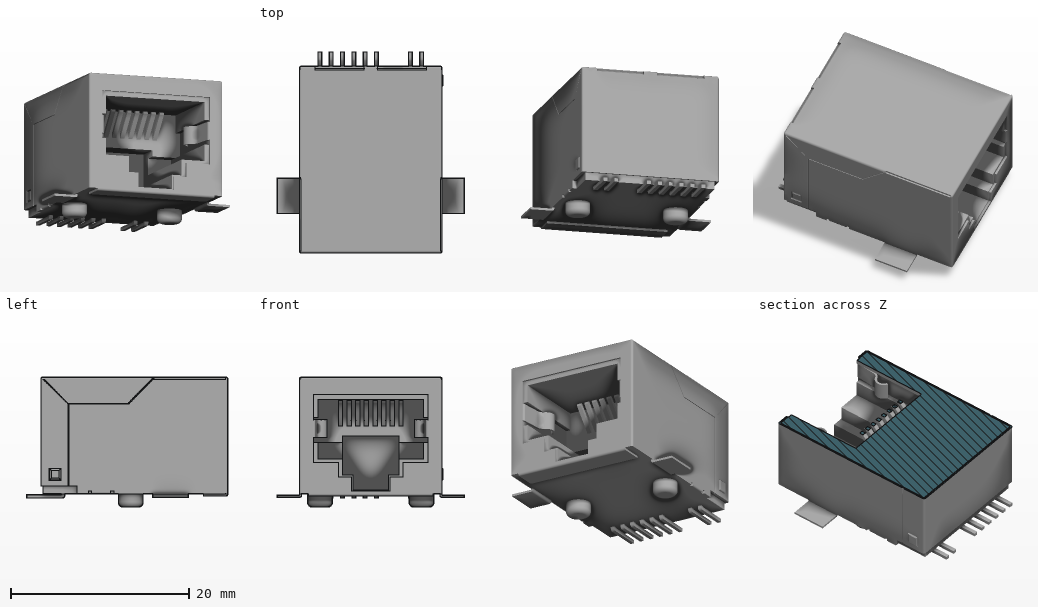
import cadquery as cq
import math


WIDTH = 16.0
LENGTH = 21.0
TOP_Z = 13.5
BOTTOM_Z = 0.375
SHEET = 0.25
BEND_RADIUS = 0.249
HALF_WIDTH = WIDTH / 2
CORE_HALF_WIDTH = HALF_WIDTH - SHEET
CORE_TOP_Z = TOP_Z - SHEET
CORE_REAR_Y = LENGTH - SHEET

SHIELD_OPENING_TOP_Z = 11.55
SHIELD_OPENING_STEPS = [(6.45, 3.9), (3.63, 2.25), (2.15, 0.69)]
CAVITY_TOP_Z = 11.0
CAVITY_STEPS = [(5.9, 4.28), (3.16, 2.48), (2.0, 0.84)]

CONTACT_WALL_Y = 9.5
SIDE_FLOOR_BACK_Y = 11.0
LATCH_BACK_Y = 12.5
LATCH_TOP_Z = 6.86

SLOT_BOTTOM_Z = 6.16
SLOT_TOP_Z = 8.97
SLOT_HALF_WIDTH = SHIELD_OPENING_STEPS[0][0]
FINGER_BOTTOM_Z = 6.7
FINGER_TOP_Z = 8.73
FINGER_ARM_END_X = 5.98
FINGER_ARM_END_Y = 2.53
FINGER_INNER_RADIUS = 0.75
FINGER_OUTER_RADIUS = FINGER_INNER_RADIUS + SHEET
FINGER_BEND_ANGLE = math.radians(68)

CONTACT_COUNT = 8
CONTACT_PITCH = 0.97
CONTACT_WIDTH = 0.5
CONTACT_THICKNESS = 0.4
CONTACT_TOP_Z = 10.84
CONTACT_TIP_Y = 7.19
CONTACT_SLOPE = 48.0
CONTACT_LENGTH = 4.1

PIN_PITCH = 1.27
PIN_STEPS = [-4.5, -3.5, -2.5, -1.5, -0.5, 0.5, 3.5, 4.5]
PIN_WIDTH = 0.45
PIN_THICKNESS = 0.4
PIN_BEND_RADIUS = 0.36
PIN_BOTTOM_Z = -0.1
PIN_INNER_Y = 18.28
PIN_TIP_Y = 22.58

PEG_DIAMETER = 2.8
PEG_X = 5.7
PEG_Y = 10.9
PEG_BOTTOM_Z = -1.1
PEG_FILLET = 0.55

TAB_TIP_X = 10.5
TAB_Y = 6.43
TAB_WIDTH = 4.0
FLAP_HALF_WIDTH = 7.0
FLAP_LENGTH = 2.75

REBATE_LENGTH = 8.3
REBATE_WIDTH = 0.16
SEAM = 0.15
SEAM_DEPTH = 0.1
SEAM_LEVEL_GAP = 0.08
SEAM_DROP = 3.05
SEAM_FRONT_Y = 11.3
SEAM_REAR_Y = 17.88
REAR_SKIRT_Z = 1.25
REAR_SKIRT_Y = 16.95
REAR_SKIRT_INSET = 0.25
HEM_FRONT_Y = 12.8
HEM_REAR_Y = 15.65
HEM_RADIUS = 0.18
RELIEF_WIDTH = 0.35
RELIEF_HEIGHT = 0.32

BEND_SLOT_X = 3.5
BEND_SLOT_WIDTH = 5.5
BEND_SLOT_DEPTH = 0.42

WINDOW_Y = 19.38
WINDOW_Z = 2.58
WINDOW_SIZE = 1.35
BUMP_SIZE = 1.25
LEFT_BUMP_HEIGHT = SHEET
LEFT_BUMP_CHAMFER = 0.19
RIGHT_BUMP_HEIGHT = SHEET + 0.13
RIGHT_BUMP_CHAMFER = 0.08


def block(x0, x1, y0, y1, z0, z1):
    """Box between two opposite corners."""
    return cq.Workplane("XY").box(x1 - x0, y1 - y0, z1 - z0, centered=False).translate((x0, y0, z0))


def stepped_opening(top_z, steps, y0, y1):
    """Plug opening whose width shrinks in steps toward the bottom."""
    opening = None
    for half_width, bottom_z in steps:
        step = block(-half_width, half_width, y0, y1, bottom_z, top_z)
        opening = step if opening is None else opening.union(step)
    return opening


def both_sides(body):
    """The body together with its mirror image across the plane X = 0."""
    return body.union(body.mirror("YZ"))


def shield_shell():
    outer = block(-HALF_WIDTH, HALF_WIDTH, 0, LENGTH, BOTTOM_Z, TOP_Z)
    outer = outer.edges("|Z or >Z").fillet(BEND_RADIUS)
    inside = block(-CORE_HALF_WIDTH, CORE_HALF_WIDTH, SHEET, CORE_REAR_Y, BOTTOM_Z, CORE_TOP_Z)
    return outer.cut(inside)


def front_flap():
    """Strip that bends from the front face under the housing."""
    flap = block(-FLAP_HALF_WIDTH, FLAP_HALF_WIDTH, 0, FLAP_LENGTH, BOTTOM_Z - SHEET, BOTTOM_Z)
    return flap.edges("|X and <Y and <Z").fillet(BEND_RADIUS)


def solder_tab():
    y0 = TAB_Y - TAB_WIDTH / 2
    y1 = TAB_Y + TAB_WIDTH / 2
    foot = block(-TAB_TIP_X, -CORE_HALF_WIDTH, y0, y1, 0, SHEET)
    leg = block(-HALF_WIDTH, -CORE_HALF_WIDTH, y0, y1, 0, BOTTOM_Z)
    return foot.union(leg).edges("|Y and >X and <Z").fillet(BEND_RADIUS)


def spring_finger():
    """Bent strip that runs back from the opening edge and bulges into the cavity."""
    sine = math.sin(FINGER_BEND_ANGLE)
    cosine = math.cos(FINGER_BEND_ANGLE)
    half_sine = math.sin(FINGER_BEND_ANGLE / 2)
    half_cosine = math.cos(FINGER_BEND_ANGLE / 2)
    first_x = FINGER_INNER_RADIUS - FINGER_ARM_END_X
    first_y = FINGER_ARM_END_Y
    center_gap = FINGER_INNER_RADIUS + FINGER_OUTER_RADIUS
    second_x = first_x - center_gap * cosine
    second_y = first_y + center_gap * sine

    def on_first(radius, c, s):
        return (first_x - radius * c, first_y + radius * s)

    def on_second(radius, c, s):
        return (second_x + radius * c, second_y + radius * s)

    root_x = -SLOT_HALF_WIDTH
    root_bend = SHEET * math.sqrt(0.5)
    inner = FINGER_INNER_RADIUS
    outer = FINGER_OUTER_RADIUS
    profile = (
        cq.Workplane("XY")
        .moveTo(root_x, 0)
        .threePointArc((root_x + root_bend, SHEET - root_bend), (root_x + SHEET, SHEET))
        .lineTo(-FINGER_ARM_END_X, FINGER_ARM_END_Y)
        .threePointArc(on_first(inner, half_cosine, half_sine), on_first(inner, cosine, sine))
        .threePointArc(on_second(outer, 1, 0), on_second(outer, cosine, sine))
        .lineTo(*on_second(inner, cosine, sine))
        .threePointArc(on_second(inner, 1, 0), on_second(inner, cosine, -sine))
        .threePointArc(on_first(outer, half_cosine, half_sine), on_first(outer, 1, 0))
        .lineTo(root_x, SHEET)
        .close()
    )
    return profile.extrude(FINGER_TOP_Z - FINGER_BOTTOM_Z).translate((0, 0, FINGER_BOTTOM_Z))


def side_groove(points):
    """Groove in the outer face of the -X side sheet along a (y, z) outline."""
    return cq.Workplane("YZ").polyline(points).close().extrude(SEAM_DEPTH).translate((-HALF_WIDTH, 0, 0))


def side_seams():
    """Seam lines between the front side panel, the top flap and the rear flap."""
    level_z = TOP_Z - SEAM_DROP
    front_slant = side_groove([
        (REBATE_LENGTH, TOP_Z), (SEAM_FRONT_Y, level_z),
        (SEAM_FRONT_Y - SEAM, level_z), (REBATE_LENGTH - SEAM, TOP_Z),
    ])
    rear_slant = side_groove([
        (CORE_REAR_Y, CORE_TOP_Z), (SEAM_REAR_Y, level_z),
        (CORE_REAR_Y - SEAM, CORE_TOP_Z),
    ])
    level = side_groove([
        (SEAM_FRONT_Y - SEAM, level_z), (SEAM_REAR_Y, level_z),
        (SEAM_REAR_Y, level_z + SEAM_LEVEL_GAP), (SEAM_FRONT_Y - SEAM, level_z + SEAM_LEVEL_GAP),
    ])
    upright = side_groove([
        (SEAM_REAR_Y - SEAM / 2, REAR_SKIRT_Z), (SEAM_REAR_Y + SEAM / 2, REAR_SKIRT_Z),
        (SEAM_REAR_Y + SEAM / 2, level_z), (SEAM_REAR_Y - SEAM / 2, level_z),
    ])
    return front_slant.union(rear_slant).union(level).union(upright)


def top_rebate():
    """Step along the front stretch of the top edge, where the top sheet stops short of the side."""
    return block(-HALF_WIDTH, REBATE_WIDTH - HALF_WIDTH, SHEET, REBATE_LENGTH, CORE_TOP_Z, TOP_Z)


def hem_cuts():
    """Two relief notches at the bottom of the side, and the rounded edge between them."""
    x0 = -HALF_WIDTH
    x1 = -CORE_HALF_WIDTH
    relief_top = BOTTOM_Z + RELIEF_HEIGHT
    front = block(x0, x1, HEM_FRONT_Y, HEM_FRONT_Y + RELIEF_WIDTH, BOTTOM_Z, relief_top)
    rear = block(x0, x1, HEM_REAR_Y - RELIEF_WIDTH, HEM_REAR_Y, BOTTOM_Z, relief_top)
    corner = block(x0, x0 + HEM_RADIUS, HEM_FRONT_Y, HEM_REAR_Y, BOTTOM_Z, BOTTOM_Z + HEM_RADIUS)
    round_edge = (
        cq.Workplane("XZ")
        .center(x0 + HEM_RADIUS, BOTTOM_Z + HEM_RADIUS)
        .circle(HEM_RADIUS)
        .extrude(HEM_FRONT_Y - HEM_REAR_Y)
        .translate((0, HEM_FRONT_Y, 0))
    )
    return front.union(rear).union(corner.cut(round_edge))


def latch_window():
    half = WINDOW_SIZE / 2
    return block(
        -HALF_WIDTH, -CORE_HALF_WIDTH,
        WINDOW_Y - half, WINDOW_Y + half,
        WINDOW_Z - half, WINDOW_Z + half,
    )


def bend_slots():
    """Two slots in the bend between the top and the rear of the shield."""
    half = BEND_SLOT_WIDTH / 2
    slot = block(
        -BEND_SLOT_X - half, -BEND_SLOT_X + half,
        LENGTH - BEND_SLOT_DEPTH, LENGTH,
        TOP_Z - BEND_SLOT_DEPTH, TOP_Z,
    )
    core = block(-HALF_WIDTH, HALF_WIDTH, 0, CORE_REAR_Y, 0, CORE_TOP_Z)
    return both_sides(slot.cut(core))


def make_shield():
    rear_skirt = block(-HALF_WIDTH, HALF_WIDTH, REAR_SKIRT_Y, LENGTH, BOTTOM_Z, REAR_SKIRT_Z)
    side_cuts = side_seams().union(top_rebate()).union(hem_cuts()).union(latch_window())
    shield = shield_shell().union(front_flap())
    shield = shield.cut(stepped_opening(SHIELD_OPENING_TOP_Z, SHIELD_OPENING_STEPS, 0, SHEET))
    shield = shield.cut(rear_skirt).cut(bend_slots())
    shield = shield.cut(side_cuts).cut(side_cuts.mirror("YZ"))
    return shield.union(both_sides(solder_tab())).union(both_sides(spring_finger()))


def rear_skirt_step():
    """Step in the -X side of the housing below the raised rear edge of the shield."""
    return block(
        -CORE_HALF_WIDTH, REAR_SKIRT_INSET - CORE_HALF_WIDTH,
        REAR_SKIRT_Y, CORE_REAR_Y,
        BOTTOM_Z, REAR_SKIRT_Z,
    )


def plug_cavity():
    cavity = stepped_opening(CAVITY_TOP_Z, CAVITY_STEPS, SHEET, CONTACT_WALL_Y)
    slot = block(-SLOT_HALF_WIDTH, SLOT_HALF_WIDTH, SHEET, CONTACT_WALL_Y, SLOT_BOTTOM_Z, SLOT_TOP_Z)
    side_half_width, side_floor_z = CAVITY_STEPS[0]
    side_recess = block(
        -side_half_width, side_half_width, SHEET, SIDE_FLOOR_BACK_Y, side_floor_z, SLOT_BOTTOM_Z
    )
    latch_recess = stepped_opening(LATCH_TOP_Z, CAVITY_STEPS[1:], SHEET, LATCH_BACK_Y)
    return cavity.union(slot).union(side_recess).union(latch_recess)


def contact(x):
    """Round-tipped spring contact that slopes down into the contact wall."""
    radius = CONTACT_THICKNESS / 2
    return (
        cq.Workplane("YZ")
        .moveTo(0, radius)
        .lineTo(CONTACT_LENGTH, radius)
        .lineTo(CONTACT_LENGTH, -radius)
        .lineTo(0, -radius)
        .threePointArc((-radius, 0), (0, radius))
        .close()
        .extrude(CONTACT_WIDTH / 2, both=True)
        .rotate((0, 0, 0), (1, 0, 0), -CONTACT_SLOPE)
        .translate((x, CONTACT_TIP_Y + radius, CONTACT_TOP_Z - radius))
    )


def solder_pin(x):
    """L-shaped pin that leaves the underside and runs out to the rear."""
    x0 = x - PIN_WIDTH / 2
    x1 = x + PIN_WIDTH / 2
    foot = block(x0, x1, PIN_INNER_Y, PIN_TIP_Y, PIN_BOTTOM_Z, PIN_BOTTOM_Z + PIN_THICKNESS)
    leg = block(x0, x1, PIN_INNER_Y, PIN_INNER_Y + PIN_THICKNESS, PIN_BOTTOM_Z, BOTTOM_Z)
    return foot.union(leg).edges("|X and <Y and <Z").fillet(PIN_BEND_RADIUS)


def peg(x):
    return (
        cq.Workplane("XY", origin=(x, PEG_Y, PEG_BOTTOM_Z))
        .circle(PEG_DIAMETER / 2)
        .extrude(BOTTOM_Z - PEG_BOTTOM_Z)
        .faces("<Z")
        .edges()
        .fillet(PEG_FILLET)
    )


def latch_bump(height, chamfer):
    """Square bump on the +X side of the housing."""
    half = BUMP_SIZE / 2
    bump = block(
        CORE_HALF_WIDTH, CORE_HALF_WIDTH + height,
        WINDOW_Y - half, WINDOW_Y + half,
        WINDOW_Z - half, WINDOW_Z + half,
    )
    return bump.faces(">X").edges().chamfer(chamfer)


def make_housing():
    housing = block(-CORE_HALF_WIDTH, CORE_HALF_WIDTH, SHEET, CORE_REAR_Y, BOTTOM_Z, CORE_TOP_Z)
    housing = housing.cut(plug_cavity()).cut(both_sides(rear_skirt_step()))
    for index in range(CONTACT_COUNT):
        housing = housing.union(contact((index - (CONTACT_COUNT - 1) / 2) * CONTACT_PITCH))
    for step in PIN_STEPS:
        housing = housing.union(solder_pin(step * PIN_PITCH))
    for x in (-PEG_X, PEG_X):
        housing = housing.union(peg(x))
    housing = housing.union(latch_bump(RIGHT_BUMP_HEIGHT, RIGHT_BUMP_CHAMFER))
    return housing.union(latch_bump(LEFT_BUMP_HEIGHT, LEFT_BUMP_CHAMFER).mirror("YZ"))


shield = make_shield()
housing = make_housing()

result = cq.Compound.makeCompound([shield.solids().val(), housing.solids().val()])